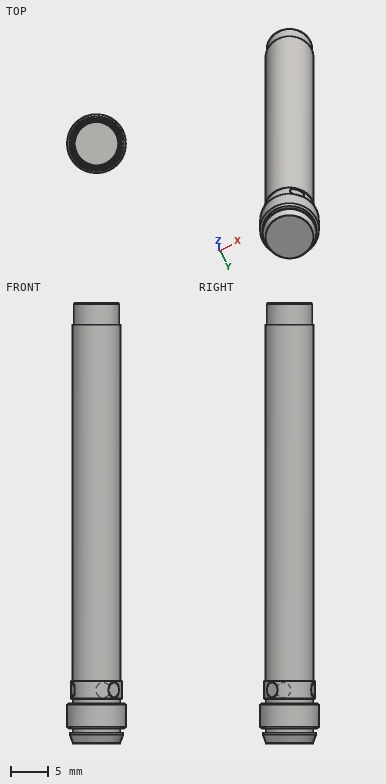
import cadquery as cq
import math

TOTAL_LENGTH = 59.5

TIP_DIAMETER = 6.2
TIP_LENGTH = 3.0
TIP_CHAMFER_HEIGHT = 0.25
TIP_CHAMFER_WIDTH = 0.2

SLEEVE_DIAMETER = 6.55
SLEEVE_BOTTOM_Z = 8.5

NECK_DIAMETER = 6.4
RING_DIAMETER = 6.9
RING_BOTTOM_Z = 6.0
RING_CHAMFER = 0.1
COLLAR_DIAMETER = 8.0
COLLAR_BOTTOM_Z = 2.0
COLLAR_TOP_Z = 5.5
COLLAR_CHAMFER_HEIGHT = 0.25
COLLAR_CHAMFER_WIDTH = 0.3
NOSE_DIAMETER = 7.2
NOSE_BAND_BOTTOM_Z = 1.2
NOSE_BAND_TOP_Z = 1.5
NOSE_END_LENGTH = 0.1

WINDOW_COUNT = 3
WINDOW_DIAMETER = 2.0
WINDOW_DEPTH = 0.2
FIRST_WINDOW_ANGLE = 195.0
WINDOW_Z = (RING_BOTTOM_Z + SLEEVE_BOTTOM_Z) / 2

SLEEVE_TOP_Z = TOTAL_LENGTH - TIP_LENGTH


def make_tip():
    """Short plug that closes the top end."""
    tip = cq.Workplane("XY").workplane(offset=SLEEVE_TOP_Z).circle(TIP_DIAMETER / 2).extrude(TIP_LENGTH)
    return tip.faces(">Z").chamfer(TIP_CHAMFER_HEIGHT, TIP_CHAMFER_WIDTH)


def make_sleeve():
    """Long plain cylinder between the connector and the tip."""
    length = SLEEVE_TOP_Z - SLEEVE_BOTTOM_Z
    return cq.Workplane("XY").workplane(offset=SLEEVE_BOTTOM_Z).circle(SLEEVE_DIAMETER / 2).extrude(length)


def make_connector_blank():
    """Turned connector: half outline (radius, Z) revolved about the Z axis."""
    neck = NECK_DIAMETER / 2
    ring = RING_DIAMETER / 2
    collar = COLLAR_DIAMETER / 2
    nose = NOSE_DIAMETER / 2
    outline = [
        (0, 0),
        (neck, 0),
        (neck, NOSE_END_LENGTH),
        (nose, NOSE_BAND_BOTTOM_Z),
        (nose, NOSE_BAND_TOP_Z),
        (neck, NOSE_BAND_TOP_Z),
        (neck, COLLAR_BOTTOM_Z),
        (collar - COLLAR_CHAMFER_WIDTH, COLLAR_BOTTOM_Z),
        (collar, COLLAR_BOTTOM_Z + COLLAR_CHAMFER_HEIGHT),
        (collar, COLLAR_TOP_Z - COLLAR_CHAMFER_HEIGHT),
        (collar - COLLAR_CHAMFER_WIDTH, COLLAR_TOP_Z),
        (neck, COLLAR_TOP_Z),
        (neck, RING_BOTTOM_Z),
        (ring - RING_CHAMFER, RING_BOTTOM_Z),
        (ring, RING_BOTTOM_Z + RING_CHAMFER),
        (ring, SLEEVE_BOTTOM_Z - RING_CHAMFER),
        (ring - RING_CHAMFER, SLEEVE_BOTTOM_Z),
        (0, SLEEVE_BOTTOM_Z),
    ]
    return cq.Workplane("XZ").polyline(outline).close().revolve(360, (0, 0, 0), (0, 1, 0))


def make_window_cutter(angle):
    """Radial cylinder whose inner flat end is the floor of one window."""
    floor_radius = RING_DIAMETER / 2 - WINDOW_DEPTH
    direction = cq.Vector(math.cos(math.radians(angle)), math.sin(math.radians(angle)), 0)
    floor_centre = direction * floor_radius + cq.Vector(0, 0, WINDOW_Z)
    return cq.Solid.makeCylinder(WINDOW_DIAMETER / 2, 2 * WINDOW_DEPTH, floor_centre, direction)


def make_connector():
    """Connector with its windows spaced evenly around the ring."""
    connector = make_connector_blank()
    for index in range(WINDOW_COUNT):
        angle = FIRST_WINDOW_ANGLE + index * 360 / WINDOW_COUNT
        connector = connector.cut(make_window_cutter(angle))
    return connector


tip = make_tip()
sleeve = make_sleeve()
connector = make_connector()

result = cq.Compound.makeCompound([tip.val(), sleeve.val(), connector.val()])